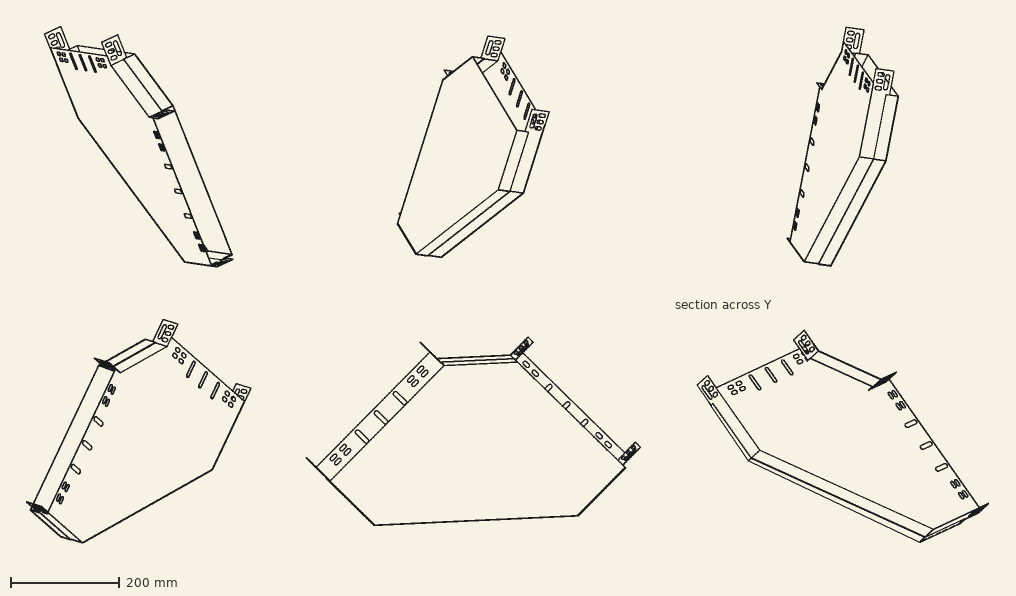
import cadquery as cq
import math


sheet = 1.0
tray_wall_height = 28.0
total_height = 52.0

long_wall = 391.0
end_wall = 143.0
short_wall = 19.0
opening_width = 301.0
lid_setback = 18.5

lug_reach = 28.0
lug_height = 35.0
lug_slot_length = 29.0
lug_slot_width = 7.5
lug_slot_height = 24.5
lug_hole_length = 12.0
lug_hole_width = 7.0
lug_hole_height = 11.5
lug_hole_pitch = 13.0
lug_hole_count = 3

long_slot_length = 33.5
long_slot_width = 8.0
long_slot_depth = 22.0
long_slot_pitch = 50.0
long_slot_count = 3
small_slot_length = 14.5
small_slot_width = 7.0
small_slot_depths = (11.0, 23.0)
small_slot_offsets = (89.0, 114.5)

tilt_about_x = -0.4
tilt_about_y = -1.6
tilt_about_z = 1.2

diagonal = math.sqrt(0.5)
outer_corner = (long_wall / 2, 0)
end_wall_tip = (outer_corner[0] + end_wall * diagonal, end_wall * diagonal)
short_wall_tip = (end_wall_tip[0] - opening_width * diagonal, end_wall_tip[1] + opening_width * diagonal)
inner_corner = (short_wall_tip[0] - short_wall * diagonal, short_wall_tip[1] - short_wall * diagonal)
opening_middle = (
    (end_wall_tip[0] + short_wall_tip[0]) / 2,
    (end_wall_tip[1] + short_wall_tip[1]) / 2,
)
outward = (diagonal, 0, diagonal)
across_opening = (-diagonal, 0, diagonal)
along_opening = (diagonal, 0, -diagonal)
corner_shift = math.tan(math.radians(22.5))


def mirrored(shape):
    """The shape together with its mirror image about X = 0."""
    return shape.union(shape.mirror("YZ"))


def elbow_prism(inset, setback, bottom, top):
    """Prism on the elbow outline, walls moved in by inset and openings moved in by setback."""
    shift = inset * corner_shift
    retreat = setback * diagonal
    wall_shift = inset * diagonal
    right_side = [
        (outer_corner[0] - shift, inset),
        (end_wall_tip[0] - retreat - wall_shift, end_wall_tip[1] - retreat + wall_shift),
        (short_wall_tip[0] - retreat + wall_shift, short_wall_tip[1] - retreat - wall_shift),
        (inner_corner[0] + shift, inner_corner[1] - inset),
    ]
    left_side = [(-x, z) for x, z in reversed(right_side)]
    base = cq.Workplane("XZ", origin=(0, bottom, 0))
    return base.polyline(right_side + left_side).close().extrude(bottom - top)


def lug_on_wall(tip, thickness):
    """Lug on the +X wall that ends at tip, and the cutters for its slot and holes.

    A negative thickness grows the lug against the across_opening direction.
    """
    plane = cq.Plane(origin=(tip[0], 0, tip[1]), xDir=outward, normal=across_opening)
    length = lug_reach + lid_setback
    middle = (lug_reach - lid_setback) / 2
    plate = cq.Workplane(plane).center(middle, lug_height / 2).rect(length, lug_height).extrude(thickness)
    slot = (
        cq.Workplane(plane)
        .center(middle, lug_slot_height)
        .slot2D(lug_slot_length, lug_slot_width)
        .extrude(thickness)
    )
    holes = (
        cq.Workplane(plane)
        .center(middle, lug_hole_height)
        .rarray(lug_hole_pitch, 6.5, lug_hole_count, 1)
        .slot2D(lug_hole_length, lug_hole_width, 90)
        .extrude(thickness)
    )
    return plate, slot.union(holes)


def floor_slots():
    """Cutters for the slots along the +X opening."""
    plane = cq.Plane(
        origin=(opening_middle[0], 0, opening_middle[1]), xDir=along_opening, normal=(0, 1, 0)
    )
    long_slots = (
        cq.Workplane(plane)
        .center(0, long_slot_depth)
        .rarray(long_slot_pitch, 6.5, long_slot_count, 1)
        .slot2D(long_slot_length, long_slot_width, 90)
        .extrude(sheet)
    )
    small_centres = [
        (end * offset, depth)
        for end in (-1, 1)
        for offset in small_slot_offsets
        for depth in small_slot_depths
    ]
    small_slots = (
        cq.Workplane(plane)
        .pushPoints(small_centres)
        .slot2D(small_slot_length, small_slot_width)
        .extrude(sheet)
    )
    return long_slots.union(small_slots)


def raised_end_walls():
    """The parts of the two end walls that rise inside the lid, up to its sheet."""
    plane = cq.Plane(
        origin=(outer_corner[0], tray_wall_height, outer_corner[1]), xDir=outward, normal=across_opening
    )
    length = end_wall - lid_setback
    height = total_height - sheet - tray_wall_height
    return mirrored(cq.Workplane(plane).rect(length, height, centered=False).extrude(sheet))


def make_tray():
    """Floor, side walls and four lugs; open at both ends."""
    tray = elbow_prism(0, 0, 0, tray_wall_height)
    tray = tray.cut(elbow_prism(sheet, -lug_reach, sheet, tray_wall_height))
    for tip, thickness in ((end_wall_tip, sheet), (short_wall_tip, -sheet)):
        plate, openings = lug_on_wall(tip, thickness)
        tray = tray.union(mirrored(plate)).cut(mirrored(openings))
    return tray.union(raised_end_walls()).cut(mirrored(floor_slots()))


def make_lid():
    """Top sheet with side walls one sheet outside the tray walls; open at both ends."""
    lid = elbow_prism(-sheet, lid_setback, tray_wall_height, total_height)
    return lid.cut(elbow_prism(0, 0, tray_wall_height, total_height - sheet))


def tilted(body):
    """The body turned to its final attitude about the origin."""
    turned = body.rotate((0, 0, 0), (0, 1, 0), tilt_about_y)
    turned = turned.rotate((0, 0, 0), (1, 0, 0), tilt_about_x)
    return turned.rotate((0, 0, 0), (0, 0, 1), tilt_about_z)


tray = tilted(make_tray())
lid = tilted(make_lid())

result = cq.Compound.makeCompound([tray.val(), lid.val()])